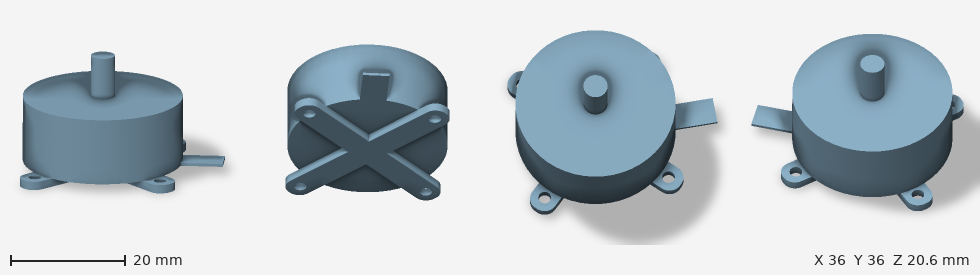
import cadquery as cq

plate_span = 36.0
plate_thickness = 1.5
arm_width = 4.82
arm_corner_radius = 2.2
hole_diameter = 2.2
hole_offset = 15.48

body_diameter = 27.9
body_top = 13.2
shaft_diameter = 4.2
shaft_top = 20.6

strip_reach = 21.15
strip_width = 4.65
strip_thickness = 0.5
strip_angle = 45.0


def mounting_plate():
    """Two crossed bars with rounded ends and a hole near each end."""
    bar = (
        cq.Workplane("XY")
        .rect(plate_span, arm_width)
        .extrude(plate_thickness)
        .edges("|Z")
        .fillet(arm_corner_radius)
    )
    cross = bar.union(bar.rotate((0, 0, 0), (0, 0, 1), 90))
    holes = (
        cq.Workplane("XY")
        .polarArray(hole_offset, 0, 360, 4)
        .circle(hole_diameter / 2)
        .extrude(plate_thickness)
    )
    return cross.cut(holes)


def cylinder(diameter, bottom, top):
    """Upright cylinder on the Z axis."""
    return cq.Workplane("XY").workplane(offset=bottom).circle(diameter / 2).extrude(top - bottom)


def connector_strip():
    """Strip lying at the base of the body, from the axis outwards."""
    return (
        cq.Workplane("XY")
        .box(strip_reach, strip_width, strip_thickness, centered=(False, True, False))
        .translate((0, 0, plate_thickness))
        .rotate((0, 0, 0), (0, 0, 1), strip_angle)
    )


body = cylinder(body_diameter, plate_thickness, body_top)
shaft = cylinder(shaft_diameter, body_top, shaft_top)
result = mounting_plate().union(body).union(shaft).union(connector_strip())